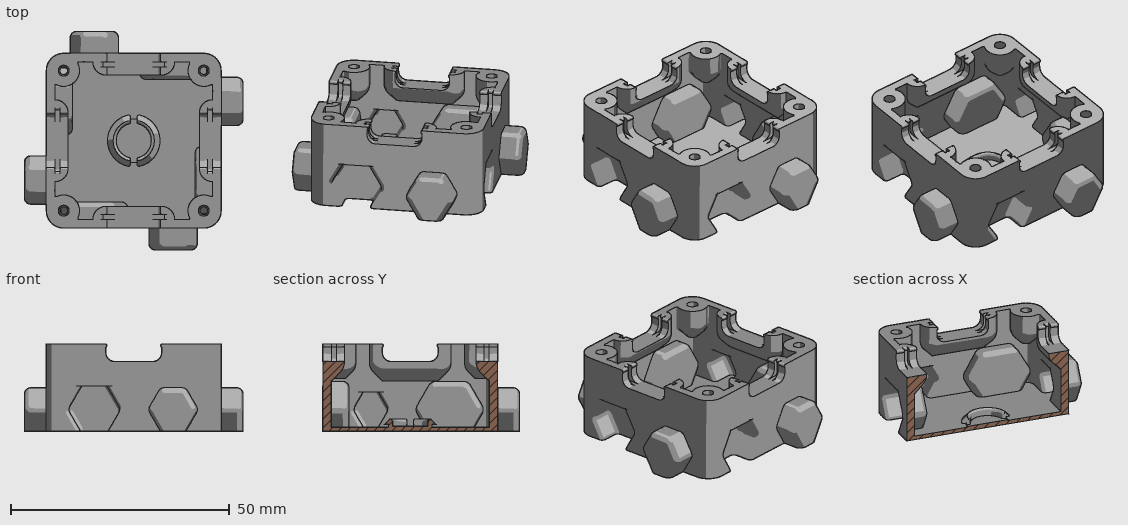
import cadquery as cq
import math

BOX_SIDE = 40
BOX_HEIGHT = 20
BOX_CORNER_RADIUS = 4
WALL = 2
FLOOR = 1
HALF_SIDE = BOX_SIDE / 2
CAVITY_HALF = HALF_SIDE - WALL
CAVITY_CORNER_RADIUS = BOX_CORNER_RADIUS - WALL

JOINT_OFFSET = 9
JOINT_Z = 5
PEG_APOTHEM = 5
PEG_LENGTH = 5
PEG_ROUND = 1.5
SOCKET_APOTHEM = PEG_APOTHEM + 0.2
SOCKET_DEPTH = 5.2
SOCKET_ROOF_Z = 10.4
SOCKET_FOOT = 3.25
SHELL_APOTHEM = 6.9
SHELL_TOP_Z = 11.45
SHELL_DEPTH = 6
SHELL_CORNER_ROUND = 2
SHELL_EDGE_ROUND = 1.5

HOLLOW_APOTHEM = 3.5
HOLLOW_DEPTH = 5.5
HOLLOW_ROOF_Z = 9.05

RECESS_CORNER_ROUND = 1.5
RECESS_EDGE_ROUND = 1
PLUG_STRETCH = 1.4
FLARE_REACH = 7
FLARE_PLATE = 0.5

FOOT = 1.6

NOTCH_FLOOR_Z = 16
NOTCH_HALF_WIDTH = 6.35
NOTCH_ROUND = 2
SLOT_HALF_WIDTH = NOTCH_HALF_WIDTH + 0.9
SLOT_ROUND = 0.75
SLOT_WIDTH = 1.15
LIP_RADIUS = 0.4
LIP_OVERHANG = 0.2

RIM_REACH = 3
RIM_HALF_LENGTH = NOTCH_HALF_WIDTH
RIM_TIP = 0.05
POST_RADIUS = 3.6
POST_FILLET = 0.3
POST_OFFSET = HALF_SIDE - BOX_CORNER_RADIUS
POST_TIP_RADIUS = 1.25
OVERHANG_Z = 15.75
OVERHANG_ROUND = 3
HOLE_TOP_RADIUS = 1.25
HOLE_BOTTOM_RADIUS = 0.875

RING_BASE_RADIUS = 5
RING_BASE_HEIGHT = 0.2
RING_LIP_RADIUS = 6
RING_TOP_RADIUS = 4.7
RING_BORE_RADIUS = 4
RING_LIP_Z = FLOOR + 0.6
RING_TOP_Z = RING_LIP_Z + RING_LIP_RADIUS - RING_TOP_RADIUS
RING_GAP = 1.5
RING_GAP_ROUND = 0.45

QUARTER_TURNS = (0, 90, 180, 270)
SELECT_MARGIN = 0.05


def on_all_sides(feature):
    """Repeat a feature of the -Y side on all four sides."""
    turned = feature
    for angle in QUARTER_TURNS[1:]:
        turned = turned.union(feature.rotate((0, 0, 0), (0, 0, 1), angle))
    return turned


def rounded_block(half_side, corner_radius, bottom_z):
    block = cq.Workplane("XY").workplane(offset=bottom_z)
    block = block.rect(2 * half_side, 2 * half_side).extrude(BOX_HEIGHT - bottom_z)
    return block.edges("|Z").fillet(corner_radius)


def hexagon_prism(apothem, top, foot, depth):
    """Hexagon extruded from y = 0 towards +Y, with its corners at left and right on z = 0.

    The upper sides end at a flat top. The lower sides slope in to the half width
    foot and then drop straight down, past the base of the box.
    """
    corner = apothem / math.cos(math.pi / 6)
    top_half = corner - top * math.tan(math.pi / 6)
    foot_z = -(corner - foot) / math.tan(math.pi / 6)
    right_side = [(foot, foot_z - BOX_HEIGHT), (foot, foot_z), (corner, 0), (top_half, top)]
    left_side = [(-x, z) for x, z in reversed(right_side)]
    return cq.Workplane("XZ").polyline(right_side + left_side).close().extrude(-depth)


def peg():
    prism = hexagon_prism(PEG_APOTHEM, PEG_APOTHEM, FOOT, PEG_LENGTH + WALL)
    prism = prism.edges("|Y").edges("not(<Z)").fillet(PEG_ROUND)
    prism = prism.faces("<Y").edges().fillet(PEG_ROUND)
    return prism.translate((JOINT_OFFSET, -HALF_SIDE - PEG_LENGTH, JOINT_Z))


def socket_shell():
    prism = hexagon_prism(SHELL_APOTHEM, SHELL_TOP_Z - JOINT_Z, FOOT, SHELL_DEPTH)
    prism = prism.edges("|Y").edges("not(<Z)").fillet(SHELL_CORNER_ROUND)
    prism = prism.faces(">Y").edges().fillet(SHELL_EDGE_ROUND)
    return prism.translate((-JOINT_OFFSET, -HALF_SIDE, JOINT_Z))


def recess(apothem, foot, depth, bottom_z, roof_z):
    """Hexagonal recess from y = 0 towards +Y, with a flared mouth and a flat roof.

    The plug runs up past the roof, and a plate in front of it carries the flare.
    """
    plug = hexagon_prism(apothem, PLUG_STRETCH * apothem, foot, depth)
    plug = plug.edges("|Y").edges("not(<Z)").fillet(RECESS_CORNER_ROUND)
    plug = plug.faces(">Y").edges().fillet(RECESS_EDGE_ROUND)
    plate = cq.Workplane("XZ").rect(2 * FLARE_REACH, 4 * BOX_HEIGHT).extrude(FLARE_PLATE)
    mouth = cq.selectors.BoxSelector(
        (SELECT_MARGIN - FLARE_REACH, -SELECT_MARGIN, -2 * BOX_HEIGHT),
        (FLARE_REACH - SELECT_MARGIN, SELECT_MARGIN, 2 * BOX_HEIGHT),
        boundingbox=True,
    )
    flared = plug.union(plate).edges(mouth).fillet(RECESS_EDGE_ROUND)
    height_limit = cq.Workplane("XY").workplane(offset=bottom_z - JOINT_Z)
    height_limit = height_limit.rect(BOX_SIDE, BOX_SIDE).extrude(roof_z - bottom_z)
    return flared.intersect(height_limit)


def socket():
    cutter = recess(SOCKET_APOTHEM, SOCKET_FOOT, SOCKET_DEPTH, 0, SOCKET_ROOF_Z)
    return cutter.translate((-JOINT_OFFSET, -HALF_SIDE, JOINT_Z))


def peg_hollow():
    cutter = recess(HOLLOW_APOTHEM, FOOT, HOLLOW_DEPTH, FLOOR, HOLLOW_ROOF_Z).mirror("XZ")
    return cutter.translate((JOINT_OFFSET, -CAVITY_HALF, JOINT_Z))


def overhang_bottom(reach, tip):
    """Height of the lowest point of an overhang of the given reach and tip."""
    knee_in = OVERHANG_ROUND * (1 - math.cos(math.pi / 4))
    knee_down = OVERHANG_ROUND * math.sin(math.pi / 4)
    return OVERHANG_Z - knee_down - (reach - knee_in - tip)


def overhang_outline(plane, reach, tip):
    """Half section of an overhang: straight side, rounded knee, 45 degree underside."""
    middle, end = [
        (
            reach - OVERHANG_ROUND * (1 - math.cos(angle)),
            OVERHANG_Z - OVERHANG_ROUND * math.sin(angle),
        )
        for angle in (math.pi / 8, math.pi / 4)
    ]
    bottom_z = overhang_bottom(reach, tip)
    return (
        plane.moveTo(0, BOX_HEIGHT)
        .lineTo(reach, BOX_HEIGHT)
        .lineTo(reach, OVERHANG_Z)
        .threePointArc(middle, end)
        .lineTo(tip, bottom_z)
        .lineTo(0, bottom_z)
        .close()
    )


def thick_rim():
    end = cq.Workplane("XZ", origin=(RIM_HALF_LENGTH, -CAVITY_HALF, 0))
    end = overhang_outline(end, RIM_REACH, RIM_TIP).revolve(360, (0, 0), (0, 1))
    middle = cq.Workplane("YZ", origin=(-RIM_HALF_LENGTH, -CAVITY_HALF, 0))
    middle = overhang_outline(middle, RIM_REACH, RIM_TIP).extrude(2 * RIM_HALF_LENGTH)
    return middle.union(end).union(end.mirror("YZ"))


def screw_post():
    """Corner of the walls with its post, the two blended by a small fillet."""
    axis = cq.Workplane("XZ", origin=(POST_OFFSET, -POST_OFFSET, 0))
    post = overhang_outline(axis, POST_RADIUS, POST_TIP_RADIUS).revolve(360, (0, 0), (0, 1))
    corner = cq.Workplane("XY", origin=(HALF_SIDE, -HALF_SIDE, 0))
    corner = corner.rect(HALF_SIDE, HALF_SIDE).extrude(BOX_HEIGHT)
    corner = corner.intersect(outer.cut(cavity)).union(post.intersect(outer))
    near = POST_OFFSET - POST_RADIUS
    far = POST_OFFSET
    seam_low = overhang_bottom(POST_RADIUS, POST_TIP_RADIUS)
    seam_high = BOX_HEIGHT - SELECT_MARGIN
    x_seam = cq.selectors.BoxSelector(
        (CAVITY_HALF - SELECT_MARGIN, -far, seam_low), (CAVITY_HALF + SELECT_MARGIN, -near, seam_high)
    )
    y_seam = cq.selectors.BoxSelector(
        (near, -CAVITY_HALF - SELECT_MARGIN, seam_low), (far, -CAVITY_HALF + SELECT_MARGIN, seam_high)
    )
    corner = corner.edges(x_seam + y_seam).fillet(POST_FILLET)
    return corner


def screw_hole():
    bottom_z = overhang_bottom(POST_RADIUS, POST_TIP_RADIUS)
    return (
        cq.Workplane("XZ", origin=(POST_OFFSET, -POST_OFFSET, 0))
        .moveTo(0, BOX_HEIGHT)
        .lineTo(HOLE_TOP_RADIUS, BOX_HEIGHT)
        .lineTo(HOLE_BOTTOM_RADIUS, bottom_z)
        .lineTo(0, bottom_z)
        .close()
        .revolve(360, (0, 0), (0, 1))
    )


def notch_cutter(half_width, floor_round, near_y, depth):
    """Opening with rounded bottom corners and a rounded lip at the top of each side."""
    cutter = (
        cq.Workplane("XZ", origin=(0, near_y, (NOTCH_FLOOR_Z + BOX_HEIGHT) / 2))
        .rect(2 * half_width, BOX_HEIGHT - NOTCH_FLOOR_Z)
        .extrude(-depth)
        .edges("|Y and <Z")
        .fillet(floor_round)
    )
    lip_x = half_width + LIP_RADIUS - LIP_OVERHANG
    lip_z = BOX_HEIGHT - LIP_RADIUS
    above = cq.Workplane("XZ", origin=(0, near_y, lip_z + LIP_RADIUS / 2))
    cutter = cutter.union(above.rect(2 * lip_x, LIP_RADIUS).extrude(-depth))
    lips = cq.Workplane("XZ", origin=(0, near_y, lip_z)).pushPoints([(-lip_x, 0), (lip_x, 0)])
    return cutter.cut(lips.circle(LIP_RADIUS).extrude(-depth))


def snap_ring():
    rim_round = RING_TOP_RADIUS - RING_BORE_RADIUS
    diagonal = rim_round * (1 - math.sin(math.pi / 4))
    ring = (
        cq.Workplane("XZ")
        .moveTo(RING_BASE_RADIUS, 0)
        .lineTo(RING_BASE_RADIUS, RING_LIP_Z)
        .lineTo(RING_LIP_RADIUS, RING_LIP_Z)
        .lineTo(RING_TOP_RADIUS, RING_TOP_Z)
        .threePointArc(
            (RING_BORE_RADIUS + diagonal, RING_TOP_Z - diagonal),
            (RING_BORE_RADIUS, RING_TOP_Z - rim_round),
        )
        .lineTo(RING_BORE_RADIUS, 0)
        .close()
        .revolve(360, (0, 0), (0, 1))
    )
    gap = cq.Workplane("XY").box(RING_GAP, 4 * RING_LIP_RADIUS, BOX_HEIGHT)
    ring = ring.cut(gap)
    gap_edges = cq.selectors.BoxSelector(
        (-RING_GAP, -RING_LIP_RADIUS, RING_LIP_Z + SELECT_MARGIN),
        (RING_GAP, RING_LIP_RADIUS, BOX_HEIGHT),
    )
    ring = ring.edges(gap_edges).fillet(RING_GAP_ROUND)
    base = cq.Workplane("XY").circle(RING_BASE_RADIUS).extrude(FLOOR + RING_BASE_HEIGHT)
    return ring.union(base)


outer = rounded_block(HALF_SIDE, BOX_CORNER_RADIUS, 0)
cavity = rounded_block(CAVITY_HALF, CAVITY_CORNER_RADIUS, FLOOR)

inside = on_all_sides(thick_rim().union(screw_post()).union(socket_shell()))
body = outer.cut(cavity).union(inside.intersect(outer))
above_base = cq.Workplane("XY").rect(2 * BOX_SIDE, 2 * BOX_SIDE).extrude(BOX_HEIGHT)
body = body.union(on_all_sides(peg()).intersect(above_base))
notch = notch_cutter(NOTCH_HALF_WIDTH, NOTCH_ROUND, -HALF_SIDE, WALL + RIM_REACH)
slot = notch_cutter(SLOT_HALF_WIDTH, SLOT_ROUND, -CAVITY_HALF, SLOT_WIDTH)
for cutter in (socket(), peg_hollow(), notch, slot, screw_hole()):
    body = body.cut(on_all_sides(cutter))
result = body.union(snap_ring())